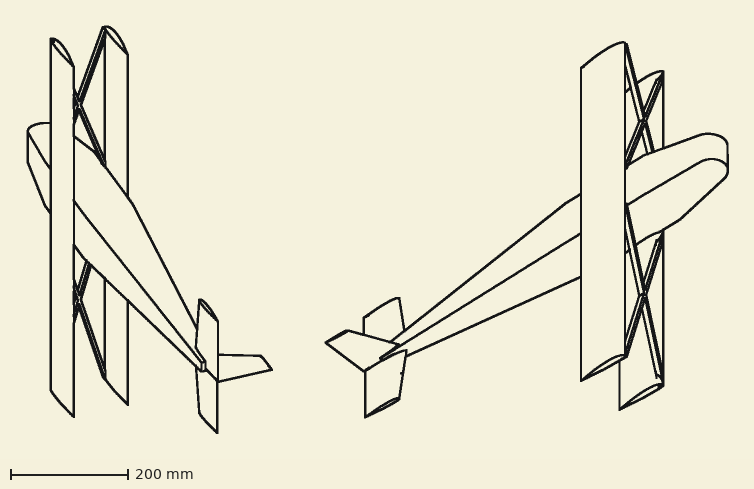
import cadquery as cq
import math


NOSE_ROUND = 25.0
CABIN_START = 143.0
CABIN_END = 323.0
FUSELAGE_LENGTH = 788.0
NOSE_HALF_DEPTH = 30.0
CABIN_HALF_DEPTH = 45.0
TAIL_HALF_DEPTH = 11.0
NOSE_HALF_WIDTH = 27.5
CABIN_HALF_WIDTH = 44.0
TAIL_HALF_WIDTH = 9.0
NOSE_X = 0.4
NOSE_Y = 5.0
NOSE_Z = 37.0
PITCH = 2.1
YAW = 0.8

SPAN = 700.0
WING_X = 184.0
WING_CHORD = 101.0
WING_Y = 48.0
WING_GAP = 100.6
WING_CROWN = 9.0
WING_BELLY = 4.0
WING_TRAIL = -2.0

STRUT_WIDTH = 11.0
STRUT_THICKNESS = 5.0
STRUT_TOP_Y = 44.0
STRUT_BOTTOM_Y = WING_Y - WING_GAP
UPPER_BRACE_ROOT_Z = 72.0
LOWER_BRACE_ROOT_Z = -7.0
BRACE_TIP_Z = SPAN / 2

TAIL_END_X = 834.5
TAIL_Y = -24.0
STABILIZER_ROOT_Z = 20.0
STABILIZER_ROOT_X = 737.0
STABILIZER_TIP_X = 754.5
STABILIZER_TOP_Z = 140.0
STABILIZER_BOTTOM_Z = -84.0
LOWER_HALF_INSET = 3.0
STABILIZER_CROWN = 5.0
STABILIZER_BELLY = 3.0
FIN_ROOT_X = 735.0
FIN_TIP_X = 784.5
FIN_TIP_Y = 76.0
FIN_ROOT_HALF_THICKNESS = 3.0
FIN_TIP_HALF_THICKNESS = 2.1

SECTION_STEPS = 8


def section_thickness(fraction):
    """Thickness at a fraction of the chord, as a share of the greatest thickness."""
    x = fraction
    return 2 * (1.4845 * math.sqrt(x) - 0.63 * x - 1.758 * x**2 + 1.4215 * x**3 - 0.518 * x**4)


def airfoil(sketch, start, chord, crown, belly, trail=0.0, base=0.0):
    """Draw a section with a rounded leading edge and a sharp trailing edge."""
    def surface(height):
        """List the points of one side between the leading and trailing edges."""
        points = []
        for step in range(1, SECTION_STEPS):
            fraction = (step / SECTION_STEPS) ** 2
            y = base + trail * fraction + height * section_thickness(fraction)
            points.append((start + chord * fraction, y))
        return points

    nose = (start, base)
    tail = (start + chord, base + trail)
    return (
        sketch.moveTo(*nose)
        .spline([*surface(crown), tail], includeCurrent=True)
        .spline([*reversed(surface(-belly)), nose], includeCurrent=True)
        .close()
    )


def make_fuselage():
    """Intersect the rounded XY outline with the tapered XZ outline."""
    depth_outline = (
        cq.Workplane("XY")
        .moveTo(NOSE_ROUND, -NOSE_HALF_DEPTH)
        .lineTo(CABIN_START, -CABIN_HALF_DEPTH)
        .lineTo(CABIN_END, -CABIN_HALF_DEPTH)
        .lineTo(FUSELAGE_LENGTH, -TAIL_HALF_DEPTH)
        .lineTo(FUSELAGE_LENGTH, TAIL_HALF_DEPTH)
        .lineTo(CABIN_END, CABIN_HALF_DEPTH)
        .lineTo(CABIN_START, CABIN_HALF_DEPTH)
        .lineTo(NOSE_ROUND, NOSE_HALF_DEPTH)
        .threePointArc((0, 0), (NOSE_ROUND, -NOSE_HALF_DEPTH))
        .close()
        .extrude(CABIN_HALF_WIDTH, both=True)
    )
    width_outline = (
        cq.Workplane("XZ")
        .polyline([
            (0, -NOSE_HALF_WIDTH),
            (CABIN_START, -CABIN_HALF_WIDTH),
            (CABIN_END, -CABIN_HALF_WIDTH),
            (FUSELAGE_LENGTH, -TAIL_HALF_WIDTH),
            (FUSELAGE_LENGTH, TAIL_HALF_WIDTH),
            (CABIN_END, CABIN_HALF_WIDTH),
            (CABIN_START, CABIN_HALF_WIDTH),
            (0, NOSE_HALF_WIDTH),
        ])
        .close()
        .extrude(CABIN_HALF_DEPTH, both=True)
    )
    return (
        depth_outline.intersect(width_outline)
        .rotate((0, 0, 0), (0, 1, 0), YAW)
        .rotate((0, 0, 0), (0, 0, 1), -PITCH)
        .translate((NOSE_X, NOSE_Y, NOSE_Z))
    )


def make_wing(leading_edge_y):
    sketch = cq.Workplane("XY", origin=(0, 0, -SPAN / 2))
    section = airfoil(sketch, WING_X, WING_CHORD, WING_CROWN, WING_BELLY,
                      WING_TRAIL, leading_edge_y)
    return section.extrude(SPAN)


def make_strut(bottom_z, top_z):
    """Flat bar between the wings, its ends cut parallel to the wings."""
    rise = STRUT_TOP_Y - STRUT_BOTTOM_Y
    run = top_z - bottom_z
    half_cut = STRUT_THICKNESS * math.hypot(rise, run) / rise / 2
    inset = half_cut * math.copysign(1, run)
    return (
        cq.Workplane("YZ", origin=(WING_X, 0, 0))
        .polyline([
            (STRUT_BOTTOM_Y, bottom_z),
            (STRUT_BOTTOM_Y, bottom_z + 2 * inset),
            (STRUT_TOP_Y, top_z),
            (STRUT_TOP_Y, top_z - 2 * inset),
        ])
        .close()
        .extrude(STRUT_WIDTH)
    )


def make_brace(low_z, high_z):
    return make_strut(low_z, high_z).union(make_strut(high_z, low_z))


def make_stabilizer_half(tip_z, trailing_edge_x):
    """Loft from the fin plane to one tip."""
    height = tip_z - STABILIZER_ROOT_Z
    root = airfoil(
        cq.Workplane("XY", origin=(0, TAIL_Y, STABILIZER_ROOT_Z)),
        STABILIZER_ROOT_X, trailing_edge_x - STABILIZER_ROOT_X,
        STABILIZER_CROWN, STABILIZER_BELLY,
    )
    tip = airfoil(
        root.workplane(offset=height),
        STABILIZER_TIP_X, trailing_edge_x - STABILIZER_TIP_X,
        STABILIZER_CROWN, STABILIZER_BELLY,
    )
    return tip.loft(ruled=True)


def make_fin():
    """Symmetric section tapering from the stabilizer to the +Y tip."""
    root = airfoil(
        cq.Workplane("XZ", origin=(0, TAIL_Y, STABILIZER_ROOT_Z)),
        FIN_ROOT_X, TAIL_END_X - FIN_ROOT_X,
        FIN_ROOT_HALF_THICKNESS, FIN_ROOT_HALF_THICKNESS,
    )
    tip = airfoil(
        root.workplane(offset=TAIL_Y - FIN_TIP_Y),
        FIN_TIP_X, TAIL_END_X - FIN_TIP_X,
        FIN_TIP_HALF_THICKNESS, FIN_TIP_HALF_THICKNESS,
    )
    return tip.loft(ruled=True)


def make_empennage():
    top_half = make_stabilizer_half(STABILIZER_TOP_Z, TAIL_END_X)
    bottom_half = make_stabilizer_half(STABILIZER_BOTTOM_Z, TAIL_END_X - LOWER_HALF_INSET)
    return top_half.union(bottom_half).union(make_fin())


fuselage = make_fuselage()
empennage = make_empennage()
wings = [make_wing(WING_Y - row * WING_GAP) for row in range(2)]
brace_ends = [(UPPER_BRACE_ROOT_Z, BRACE_TIP_Z), (-BRACE_TIP_Z, LOWER_BRACE_ROOT_Z)]
braces = [make_brace(low_z, high_z) for low_z, high_z in brace_ends]

for brace in braces:
    fuselage = fuselage.cut(brace)
    wings = [wing.cut(brace) for wing in wings]

for insert in [*wings, empennage]:
    fuselage = fuselage.cut(insert)

result = cq.Compound.makeCompound([
    *fuselage.vals(),
    *[wing.val() for wing in wings],
    *[brace.val() for brace in braces],
    empennage.val(),
])